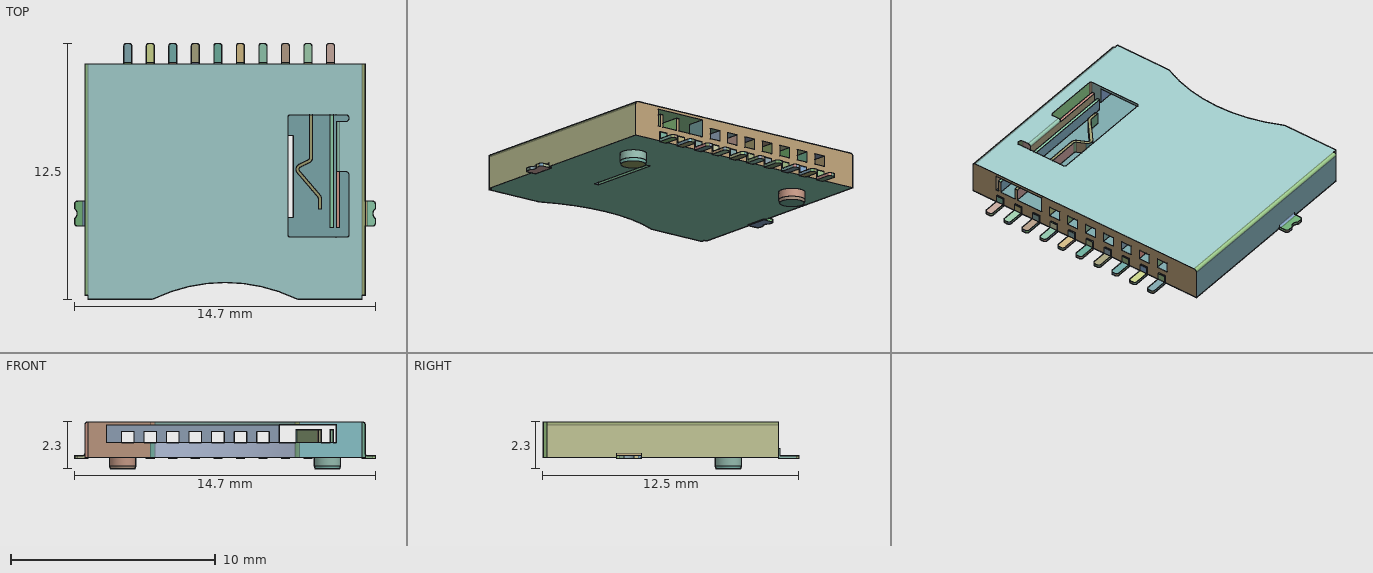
import cadquery as cq
import math


BODY_WIDTH = 13.7
BODY_LENGTH = 11.5
BODY_HEIGHT = 1.75
SHEET = 0.15
SIDE_SETBACK = 0.2
FLOOR_Z = 0.74
ROOF_Z = BODY_HEIGHT - SHEET
FOOT_Z = -0.05

RECESS_RADIUS = 8.0
RECESS_DEPTH = 0.82
RECESS_CORNER_RADIUS = 0.5

SLOT_LEFT = -5.8
SLOT_RIGHT = 5.42
BACK_WALL_RIGHT = 2.65
BACK_WALL_THICKNESS = 1.0
BACK_HOLE_WIDTH = 0.6
BACK_HOLE_TOP = 1.27
BACK_HOLE_COUNT = 7

LEAD_COUNT = 10
LEAD_PITCH = 1.1
FIRST_LEAD_X = -4.75
LEAD_WIDTH = 0.4
LEAD_LENGTH = 1.0
LEAD_TIP_RADIUS = 0.13
LEAD_RISER_THICKNESS = 0.08
LEAD_RISER_TOP = 0.45

TAB_Y = 4.19
TAB_WIDTH = 1.23
TAB_LENGTH = 0.5
TAB_CORNER_RADIUS = 0.15
TAB_NOTCH_RADIUS = 0.3
TAB_NOTCH_DEPTH = 0.12
TAB_BEND_RADIUS = 0.1

PEG_X = 5.0
PEG_Y = BODY_LENGTH - 2.45
PEG_DIAMETER = 1.3
PEG_LENGTH = 0.55
PEG_TAPER_HEIGHT = 0.15
PEG_TAPER_INSET = 0.05

WINDOW_LEFT = 3.08
WINDOW_RIGHT = 6.05
WINDOW_FRONT = 3.04
WINDOW_BACK = 9.01
WINDOW_RADIUS = 0.1
LEAF_LEFT = 5.45
LEAF_FRONT = 3.5
LEAF_BEND_FRONT = 6.24
LEAF_BACK = 8.69
LEAF_BEND_RADIUS = 0.14
LEAF_CORNER_RADIUS = 0.14

FLOOR_SLOT_WIDTH = 0.25
FLOOR_SLOT_FRONT = 4.0
FLOOR_SLOT_BACK = 8.0
CONTACT_TOP = 1.37
STRAIGHT_CONTACT_X = 5.21
SPRING_BEND_RADIUS = 0.2
SPRING_PATH = [
    (4.20, BODY_LENGTH),
    (4.20, 6.80),
    (3.42, 6.42),
    (4.63, 5.00),
    (4.63, 4.42),
]


def box(x0, x1, y0, y1, z0, z1):
    """Box between two opposite corners."""
    return cq.Workplane("XY").box(x1 - x0, y1 - y0, z1 - z0, centered=False).translate((x0, y0, z0))


def make_body():
    """Solid block with stepped front corners, rounded top sides and the finger recess."""
    half_width = BODY_WIDTH / 2
    front_half_width = half_width - SHEET
    shell = box(-half_width, half_width, SIDE_SETBACK, BODY_LENGTH, 0, BODY_HEIGHT)
    shell = shell.edges("|Y and >Z").fillet(SHEET)
    recess_half_width = math.sqrt(RECESS_RADIUS**2 - (RECESS_RADIUS - RECESS_DEPTH)**2)
    core = (
        cq.Workplane("XY")
        .moveTo(-front_half_width, 0)
        .lineTo(-recess_half_width, 0)
        .threePointArc((0, RECESS_DEPTH), (recess_half_width, 0))
        .lineTo(front_half_width, 0)
        .lineTo(front_half_width, BODY_LENGTH)
        .lineTo(-front_half_width, BODY_LENGTH)
        .close()
        .extrude(BODY_HEIGHT)
    )
    recess_ends = cq.selectors.BoxSelector(
        (-recess_half_width - SHEET, -SHEET, -SHEET),
        (recess_half_width + SHEET, SHEET, BODY_HEIGHT + SHEET),
    )
    core = core.edges("|Z").edges(recess_ends).fillet(RECESS_CORNER_RADIUS)
    recess_clearance = box(-recess_half_width, recess_half_width, 0, RECESS_DEPTH, 0, BODY_HEIGHT).cut(core)
    return shell.union(core).cut(recess_clearance)


def cut_card_slot(body):
    """Card cavity, open at the front and at the right part of the back."""
    wall_front = BODY_LENGTH - BACK_WALL_THICKNESS
    body = body.cut(box(SLOT_LEFT, SLOT_RIGHT, 0, wall_front, FLOOR_Z, ROOF_Z))
    body = body.cut(box(BACK_WALL_RIGHT, SLOT_RIGHT, wall_front, BODY_LENGTH, FLOOR_Z, ROOF_Z))
    for index in range(BACK_HOLE_COUNT):
        left = FIRST_LEAD_X + index * LEAD_PITCH - BACK_HOLE_WIDTH / 2
        body = body.cut(
            box(left, left + BACK_HOLE_WIDTH, wall_front, BODY_LENGTH, FLOOR_Z, BACK_HOLE_TOP)
        )
    return body


def cut_window(body):
    """Window from the shell top down to the card floor, and the floor opening."""
    leaf_right = LEAF_LEFT + SHEET
    window = box(WINDOW_LEFT, WINDOW_RIGHT, WINDOW_FRONT, WINDOW_BACK, FLOOR_Z, BODY_HEIGHT)
    leaf_root = box(leaf_right, WINDOW_RIGHT, LEAF_BEND_FRONT, LEAF_BACK, FLOOR_Z, BODY_HEIGHT)
    window = window.cut(leaf_root)
    leaf_corners = cq.selectors.BoxSelector(
        (WINDOW_RIGHT - SHEET, LEAF_BEND_FRONT - SHEET, FLOOR_Z),
        (WINDOW_RIGHT + SHEET, WINDOW_BACK + SHEET, BODY_HEIGHT),
    )
    window = window.edges("|Z").edges(leaf_corners).fillet(LEAF_CORNER_RADIUS)
    window = window.edges("|Z and (<X or <Y)").fillet(WINDOW_RADIUS)
    floor_slot = box(
        WINDOW_LEFT, WINDOW_LEFT + FLOOR_SLOT_WIDTH, FLOOR_SLOT_FRONT, FLOOR_SLOT_BACK, 0, FLOOR_Z
    )
    return body.cut(window).cut(floor_slot)


def make_leaf():
    """Sheet leaf bent down from the window edge to the floor, running forward past its root."""
    leaf_right = LEAF_LEFT + SHEET
    blade = box(LEAF_LEFT, leaf_right, LEAF_FRONT, LEAF_BACK, FLOOR_Z, ROOF_Z)
    bend = box(LEAF_LEFT, leaf_right, LEAF_BEND_FRONT, LEAF_BACK, FLOOR_Z, BODY_HEIGHT)
    bend = bend.edges("<X and >Z").fillet(LEAF_BEND_RADIUS)
    return blade.union(bend)


def make_contacts():
    """Straight contact and bent spring contact of the detect switch, standing on the floor."""
    half_thickness = SHEET / 2
    straight = box(
        STRAIGHT_CONTACT_X - half_thickness,
        STRAIGHT_CONTACT_X + half_thickness,
        LEAF_FRONT,
        BODY_LENGTH,
        FLOOR_Z,
        CONTACT_TOP,
    )
    path = cq.Wire.makePolygon([cq.Vector(x, y, FLOOR_Z) for x, y in SPRING_PATH])
    path = path.fillet(SPRING_BEND_RADIUS, path.Vertices()[1:-1])
    contact_height = CONTACT_TOP - FLOOR_Z
    start_x, start_y = SPRING_PATH[0]
    spring = (
        cq.Workplane("XZ", origin=(start_x, start_y, FLOOR_Z + contact_height / 2))
        .rect(SHEET, contact_height)
        .sweep(cq.Workplane(path))
    )
    return straight.union(spring)


def make_lead(x):
    """Flat solder lead with rounded tip and a short riser against the back face."""
    left = x - LEAD_WIDTH / 2
    right = x + LEAD_WIDTH / 2
    foot = box(left, right, BODY_LENGTH, BODY_LENGTH + LEAD_LENGTH, FOOT_Z, FOOT_Z + SHEET)
    foot = foot.edges("|Z and >Y").fillet(LEAD_TIP_RADIUS)
    riser = box(left, right, BODY_LENGTH, BODY_LENGTH + LEAD_RISER_THICKNESS, FOOT_Z, LEAD_RISER_TOP)
    return foot.union(riser)


def make_tab():
    """Right-hand solder tab with a notched tip and a rounded bend at the wall."""
    wall = BODY_WIDTH / 2
    tip = wall + TAB_LENGTH
    front = TAB_Y - TAB_WIDTH / 2
    back = TAB_Y + TAB_WIDTH / 2
    foot_top = FOOT_Z + SHEET
    foot = box(wall - SHEET, tip, front, back, FOOT_Z, foot_top)
    foot = foot.edges("|Z and >X").fillet(TAB_CORNER_RADIUS)
    notch = (
        cq.Workplane("XY", origin=(0, 0, FOOT_Z))
        .center(tip + TAB_NOTCH_RADIUS - TAB_NOTCH_DEPTH, TAB_Y)
        .circle(TAB_NOTCH_RADIUS)
        .extrude(SHEET)
    )
    bend = (
        cq.Workplane("XZ", origin=(wall, back, foot_top))
        .lineTo(TAB_BEND_RADIUS, 0)
        .radiusArc((0, TAB_BEND_RADIUS), TAB_BEND_RADIUS)
        .close()
        .extrude(TAB_WIDTH)
    )
    return foot.cut(notch).union(bend)


def make_peg(x):
    """Round locating peg under the body, tapered at its tip."""
    radius = PEG_DIAMETER / 2
    peg = cq.Workplane("XY").center(x, PEG_Y).circle(radius).extrude(-PEG_LENGTH)
    return peg.faces("<Z").chamfer(PEG_TAPER_HEIGHT, PEG_TAPER_INSET)


result = cut_window(cut_card_slot(make_body()))
result = result.union(make_leaf()).union(make_contacts())
for lead_index in range(LEAD_COUNT):
    result = result.union(make_lead(FIRST_LEAD_X + lead_index * LEAD_PITCH))
tab = make_tab()
result = result.union(tab).union(tab.mirror("YZ"))
for peg_x in (-PEG_X, PEG_X):
    result = result.union(make_peg(peg_x))